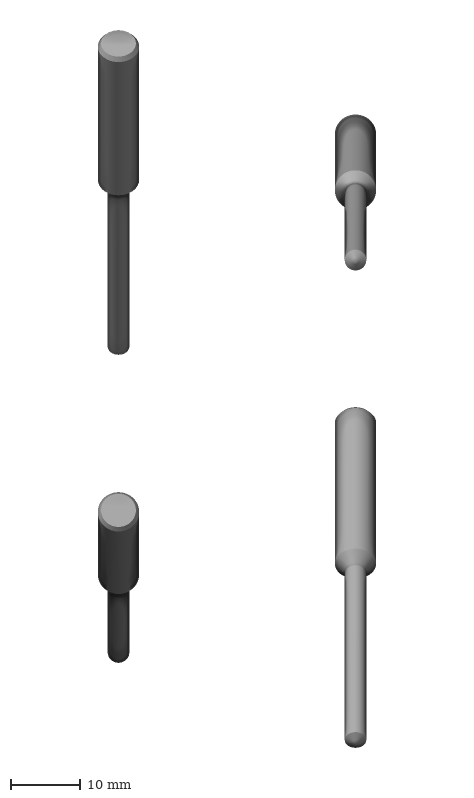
import cadquery as cq

total_length = 68.0
shank_diameter = 6.0
shank_radius = shank_diameter / 2

chamfer_width = 0.5
chamfer_height = 0.7
cone_top_z = 37.8
neck_z = 36.0

drill_diameter = 3.1
drill_radius = drill_diameter / 2
point_height = 0.8


def revolve_profile(points):
    """Revolve a closed (radius, height) outline around the Z axis."""
    return cq.Workplane("XZ").polyline(points).close().revolve(360, (0, 0, 0), (0, 1, 0))


def make_shank():
    return revolve_profile([
        (0, neck_z),
        (drill_radius, neck_z),
        (shank_radius, cone_top_z),
        (shank_radius, total_length - chamfer_height),
        (shank_radius - chamfer_width, total_length),
        (0, total_length),
    ])


def make_drill():
    return revolve_profile([
        (0, 0),
        (drill_radius, point_height),
        (drill_radius, neck_z),
        (0, neck_z),
    ])


shank = make_shank()
drill = make_drill()

result = cq.Compound.makeCompound([shank.val(), drill.val()])